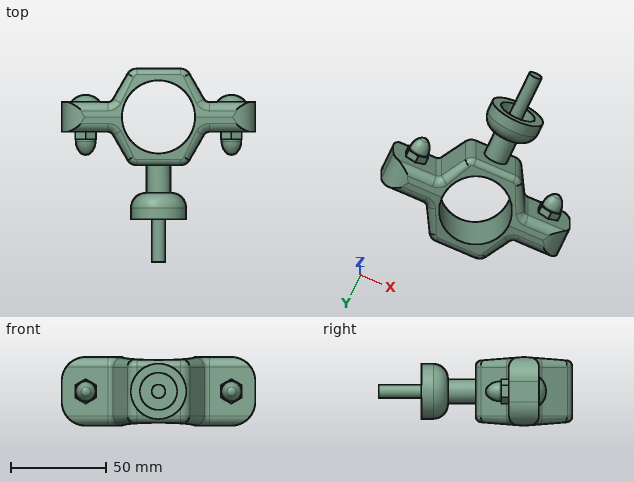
import cadquery as cq
import math

overall_width = 101.6
overall_length = 101.6
body_height = 36.2
hex_apothem = 25.4
lug_thickness = 15.7
hex_corner_radius = 5.6
lug_root_radius = 3.0
lug_end_radius = 12.7
bore_radius = 19.1
roof_slope = 0.08
wall_half_height = 12.9

bolt_x = 38.2
head_radius = 7.4
head_height = 3.6
head_collar = 0.2
nut_across_flats = 11.1
nut_height = 4.0
cap_radius = 5.3
cap_collar = 0.8
cap_side_height = 6.4
cap_tip_radius = 2.4

stem_radius = 6.4
stem_length = 14.3
bell_radius = 14.5
bell_dome_radius = 7.9
bell_rim_length = 6.1
bell_hole_radius = 9.8
bell_hole_depth = 9.1
rod_radius = 3.6
rod_end_y = hex_apothem - overall_length

half_width = overall_width / 2
half_height = body_height / 2
lug_y = lug_thickness / 2


def roof_height(y):
    """Height of the sloping top at distance y from the ridge."""
    return half_height - roof_slope * abs(y)


def body_blank():
    """Plan outline of ring and lugs, topped and bottomed by shallow roofs."""
    corner_x = hex_apothem * math.tan(math.radians(30))
    root_x = 2 * corner_x - lug_y * math.tan(math.radians(30))
    quarter = [(half_width, lug_y), (root_x, lug_y), (corner_x, hex_apothem)]
    back = quarter + [(-x, y) for x, y in reversed(quarter)]
    front = [(-x, -y) for x, y in back]
    plan = cq.Workplane("XY").polyline(back + front).close().extrude(half_height, both=True)

    def upright_edges(x):
        return plan.edges("|Z").filter(lambda edge: math.isclose(abs(edge.Center().x), x))

    plan = upright_edges(corner_x).fillet(hex_corner_radius)
    plan = upright_edges(root_x).fillet(lug_root_radius)

    edge_height = roof_height(hex_apothem)
    section = [
        (-hex_apothem, edge_height), (0, half_height), (hex_apothem, edge_height),
        (hex_apothem, -edge_height), (0, -half_height), (-hex_apothem, -edge_height),
    ]
    roofed = cq.Workplane("YZ").polyline(section).close().extrude(half_width, both=True)
    return plan.intersect(roofed)


def round_rims(body):
    """Round the four rims so that each rounding ends level on the side walls."""
    roof_angle = math.atan(roof_slope)
    tangent_factor = math.tan((math.pi / 2 - roof_angle) / 2)

    def rim_radius(y):
        return (roof_height(y) - wall_half_height) / tangent_factor

    rim_height = roof_height(hex_apothem)
    tolerance = 0.01
    rim_starts = body.edges("|X").filter(
        lambda edge: abs(abs(edge.Center().y) - hex_apothem) < tolerance
        and abs(abs(edge.Center().z) - rim_height) < tolerance
    )

    builder = cq.occ_impl.shapes.BRepFilletAPI_MakeFillet(body.solids().val().wrapped)
    for edge in rim_starts.vals():
        builder.Add(edge.wrapped)
    for rim in range(1, builder.NbContours() + 1):
        for index in range(1, builder.NbEdges(rim) + 1):
            for vertex in cq.Shape.cast(builder.Edge(rim, index)).Vertices():
                builder.SetRadius(rim_radius(vertex.Center().y), rim, vertex.wrapped)
    return cq.Workplane(cq.Shape.cast(builder.Shape()))


def clamp_body():
    end_profile = (
        cq.Workplane("XZ")
        .rect(overall_width, body_height)
        .extrude(hex_apothem, both=True)
        .edges("|Y")
        .fillet(lug_end_radius)
    )
    bore = cq.Workplane("XY").circle(bore_radius).extrude(body_height, both=True)
    return round_rims(body_blank()).intersect(end_profile).cut(bore)


def bolt(x):
    """Round head behind the lug, hexagonal cap nut in front of it."""
    dome_y = lug_y + head_collar
    sphere_radius = (head_radius**2 + head_height**2) / (2 * head_height)
    head = (
        cq.Workplane("XY")
        .lineTo(head_radius, 0)
        .lineTo(head_radius, dome_y)
        .radiusArc((0, dome_y + head_height), -sphere_radius)
        .close()
        .revolve(360, (0, 0), (0, 1))
    )
    nut = (
        cq.Workplane("XZ", origin=(0, -lug_y, 0))
        .polygon(6, nut_across_flats, circumscribed=True)
        .extrude(nut_height)
    )
    nut_y = -lug_y - nut_height
    arc_start_y = nut_y - cap_collar
    arc_end_y = arc_start_y - cap_side_height
    narrowing = cap_radius - cap_tip_radius
    side_radius = (narrowing**2 + cap_side_height**2) / (2 * narrowing)
    arc_angle = math.asin(cap_side_height / side_radius)
    tip_sphere_radius = cap_tip_radius / math.cos(arc_angle)
    tip_y = arc_end_y - tip_sphere_radius * (1 - math.sin(arc_angle))
    cap = (
        cq.Workplane("XY")
        .moveTo(0, nut_y)
        .lineTo(cap_radius, nut_y)
        .lineTo(cap_radius, arc_start_y)
        .tangentArcPoint((cap_tip_radius, arc_end_y), relative=False)
        .tangentArcPoint((0, tip_y), relative=False)
        .close()
        .revolve(360, (0, 0), (0, 1))
    )
    return head.union(nut).union(cap).translate((x, 0, 0))


def stem_and_bell():
    stem_start_y = -(bore_radius + hex_apothem) / 2
    bell_y = -hex_apothem - stem_length
    rim_y = bell_y - bell_dome_radius
    bell_end_y = rim_y - bell_rim_length
    floor_y = bell_end_y + bell_hole_depth
    return (
        cq.Workplane("XY")
        .moveTo(0, stem_start_y)
        .lineTo(stem_radius, stem_start_y)
        .lineTo(stem_radius, bell_y)
        .lineTo(bell_radius - bell_dome_radius, bell_y)
        .radiusArc((bell_radius, rim_y), bell_dome_radius)
        .lineTo(bell_radius, bell_end_y)
        .lineTo(bell_hole_radius, bell_end_y)
        .lineTo(bell_hole_radius, floor_y)
        .lineTo(rod_radius, floor_y)
        .lineTo(rod_radius, rod_end_y)
        .lineTo(0, rod_end_y)
        .close()
        .revolve(360, (0, 0), (0, 1))
    )


result = clamp_body()
for side in (-1, 1):
    result = result.union(bolt(side * bolt_x))
result = result.union(stem_and_bell())